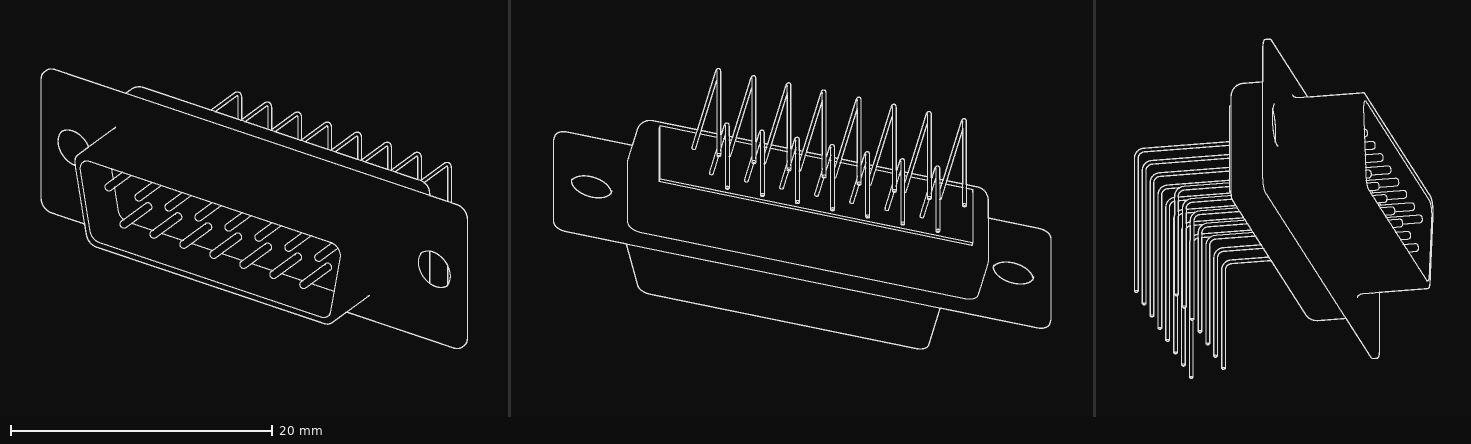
import cadquery as cq
import math

FLANGE_WIDTH = 39.2
FLANGE_HEIGHT = 12.5
FLANGE_THICKNESS = 0.5
FLANGE_CORNER_RADIUS = 1.0
FLANGE_EDGE_RADIUS = 0.1
MOUNT_HOLE_DIAMETER = 3.2
MOUNT_HOLE_SPACING = 33.3

SIDE_SLOPE = math.radians(10)
SHELL_WIDTH = 25.1
SHELL_HEIGHT = 7.9
SHELL_LENGTH = 5.75
SHELL_CORNER_RADIUS = 1.0
POCKET_CORNER_RADIUS = 0.9
SHELL_WALL = 0.52
SHELL_RIM_RADIUS = 0.05
SHELL_ROOT_RADIUS = 0.6
ROOT_SEARCH_MARGIN = 0.05
POCKET_DEPTH = 3.85

REAR_WIDTH = 27.7
REAR_HEIGHT = 10.0
REAR_LENGTH = 3.95
REAR_CORNER_RADIUS = 1.05
REAR_EDGE_RADIUS = 1.0
INSULATOR_WIDTH = 24.7
INSULATOR_HEIGHT = 6.95
INSULATOR_STEP = 0.25

PITCH = 2.77
ROW_SPACING = 2.84
UPPER_COUNT = 8
LOWER_COUNT = 7
PIN_DIAMETER = 0.6
PIN_TIP_RADIUS = 0.2
PIN_LENGTH = 3.6
LEAD_DIAMETER = 0.3
LEAD_TIP_CHAMFER = 0.1
LEAD_BEND_RADIUS = 0.6
TOTAL_DEPTH = 18.49
TOTAL_HEIGHT = 16.4

REAR_FACE_Y = FLANGE_THICKNESS + REAR_LENGTH
POCKET_FLOOR_Y = POCKET_DEPTH - SHELL_LENGTH
UPPER_LEAD_Y = TOTAL_DEPTH - SHELL_LENGTH - LEAD_DIAMETER / 2
LEAD_BOTTOM_Z = FLANGE_HEIGHT / 2 - TOTAL_HEIGHT


def plane_at(y):
    """XZ plane at the given Y, with extrusion toward +Y."""
    return cq.Plane(origin=(0, y, 0), xDir=(-1, 0, 0), normal=(0, 1, 0))


def d_prism(width, height, corner_radius, y_start, y_end):
    """Rounded D-shaped prism; width is its greatest width, across the rounded upper corners."""
    overhang = corner_radius * (math.tan(math.pi / 4 + SIDE_SLOPE / 2) - 1)
    top = width / 2 + overhang
    bottom = top - height * math.tan(SIDE_SLOPE)
    outline = [(-top, height / 2), (top, height / 2), (bottom, -height / 2), (-bottom, -height / 2)]
    prism = cq.Workplane(plane_at(y_start)).polyline(outline).close().extrude(y_end - y_start)
    return prism.edges("|Y").fillet(corner_radius)


def make_flange():
    """Rounded plate with two mounting holes; every edge of its front and back faces is rounded over."""
    half = MOUNT_HOLE_SPACING / 2
    flange = cq.Workplane(plane_at(0)).rect(FLANGE_WIDTH, FLANGE_HEIGHT).extrude(FLANGE_THICKNESS)
    flange = flange.edges("|Y").fillet(FLANGE_CORNER_RADIUS)
    holes = cq.Workplane(plane_at(0)).pushPoints([(-half, 0), (half, 0)])
    flange = flange.cut(holes.circle(MOUNT_HOLE_DIAMETER / 2).extrude(FLANGE_THICKNESS))
    return flange.faces("<Y or >Y").edges().fillet(FLANGE_EDGE_RADIUS)


def make_front_shell():
    shell = d_prism(SHELL_WIDTH, SHELL_HEIGHT, SHELL_CORNER_RADIUS, -SHELL_LENGTH, 0)
    return shell.faces("<Y").edges().fillet(SHELL_RIM_RADIUS)


def make_pocket():
    return d_prism(
        SHELL_WIDTH - 2 * SHELL_WALL,
        SHELL_HEIGHT - 2 * SHELL_WALL,
        POCKET_CORNER_RADIUS,
        -SHELL_LENGTH,
        POCKET_FLOOR_Y,
    )


def make_rear_shell():
    rear = cq.Workplane(plane_at(FLANGE_THICKNESS)).rect(REAR_WIDTH, REAR_HEIGHT).extrude(REAR_LENGTH)
    rear = rear.edges("|Y").fillet(REAR_CORNER_RADIUS)
    return rear.faces(">Y").edges().fillet(REAR_EDGE_RADIUS)


def make_insulator_step():
    back_plane = cq.Workplane(plane_at(REAR_FACE_Y))
    return back_plane.rect(INSULATOR_WIDTH, INSULATOR_HEIGHT).extrude(INSULATOR_STEP)


def make_contact(x, z, lead_y):
    """Mating pin in the pocket, and the right-angle lead that leaves the insulator's back."""
    pin = cq.Workplane(plane_at(POCKET_FLOOR_Y)).center(-x, z).circle(PIN_DIAMETER / 2).extrude(-PIN_LENGTH)
    pin = pin.faces("<Y").edges().fillet(PIN_TIP_RADIUS)
    bend_y = lead_y - LEAD_BEND_RADIUS
    bend_z = z - LEAD_BEND_RADIUS
    diagonal = LEAD_BEND_RADIUS * math.sqrt(0.5)
    path = (
        cq.Workplane(cq.Plane(origin=(x, 0, 0), xDir=(0, 1, 0), normal=(1, 0, 0)))
        .moveTo(REAR_FACE_Y, z)
        .lineTo(bend_y, z)
        .threePointArc((bend_y + diagonal, bend_z + diagonal), (lead_y, bend_z))
        .lineTo(lead_y, LEAD_BOTTOM_Z)
    )
    lead = cq.Workplane(plane_at(REAR_FACE_Y)).center(-x, z).circle(LEAD_DIAMETER / 2).sweep(path)
    lead = lead.faces("<Z").edges().chamfer(LEAD_TIP_CHAMFER)
    return [pin, lead]


def make_row(count, z, lead_y):
    solids = []
    for index in range(count):
        x = (index - (count - 1) / 2) * PITCH
        solids += make_contact(x, z, lead_y)
    return solids


def add_root_fillet(solid):
    """Round the inner corner where the front shell meets the flange's front face."""
    reach_x = SHELL_WIDTH / 2 + ROOT_SEARCH_MARGIN
    reach_z = SHELL_HEIGHT / 2 + ROOT_SEARCH_MARGIN
    root_edges = cq.selectors.BoxSelector(
        (-reach_x, -ROOT_SEARCH_MARGIN, -reach_z),
        (reach_x, ROOT_SEARCH_MARGIN, reach_z),
        boundingbox=True,
    )
    return solid.edges(root_edges).fillet(SHELL_ROOT_RADIUS)


body = add_root_fillet(make_flange().union(make_front_shell()))
body = body.union(make_rear_shell()).union(make_insulator_step())
body = body.cut(make_pocket())

contacts = make_row(UPPER_COUNT, ROW_SPACING / 2, UPPER_LEAD_Y)
contacts += make_row(LOWER_COUNT, -ROW_SPACING / 2, UPPER_LEAD_Y - ROW_SPACING)
for contact in contacts:
    body = body.union(contact)

result = body